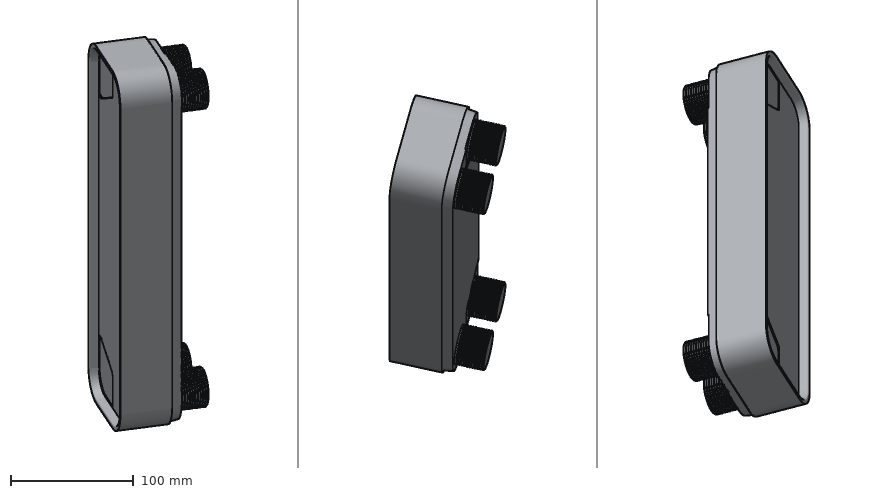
import cadquery as cq
import math


pack_width = 94.0
pack_height = 324.0
corner_radius = 23.3
pack_depth = 43.7
cover_top = 52.5
cover_inset = 1.78
cover_draft = 8.0
cover_bend = 0.8

pan_inset = 3.5
pan_depth = 7.0
pan_draft = 19.0
pan_bend = 1.0

field_step = 1.0
field_draft = 35.0
field_edge_x = -0.5
field_corner_z = 124.7
field_knee_x = -33.5
field_knee_z = 109.0
field_bend = 5.0
field_overhang = 16.2

connector_x = 23.0
connector_z = 135.0
thread_radius = 16.7
thread_depth = 1.3
thread_pitch = 2.2
ridge_count = 11
connector_length = 24.5
tip_chamfer = 1.0
collar_length = connector_length - tip_chamfer - (ridge_count - 1) * thread_pitch


def rounded_slab(inset, start_y, depth, draft=0.0):
    """Rounded rectangle, inset from the pack outline, grown along +Y from start_y."""
    sketch = cq.Sketch().rect(pack_width - 2 * inset, pack_height - 2 * inset)
    sketch = sketch.vertices().fillet(corner_radius - inset)
    plane = cq.Plane(origin=(0, start_y, 0), xDir=(-1, 0, 0), normal=(0, 1, 0))
    return cq.Workplane(plane).placeSketch(sketch).extrude(depth, taper=draft)


def corner_field(start_y, direction, side):
    """Drafted corner field, one step deep along Y in the given direction (+1 or -1).

    side is +1 for the top corner and -1 for the bottom corner.
    """
    outer_x = -pack_width / 2 - field_overhang
    outer_z = pack_height / 2 + field_overhang
    outline = [
        (outer_x, outer_z),
        (field_edge_x, outer_z),
        (field_edge_x, field_corner_z),
        (field_knee_x, field_knee_z),
        (outer_x, field_knee_z),
        (outer_x, outer_z),
    ]
    margin = 3.2
    turns = cq.selectors.BoxSelector(
        (field_knee_x - margin, field_knee_z - margin, -margin),
        (field_edge_x + margin, field_corner_z + margin, margin),
    )
    sketch = cq.Sketch().polygon(outline)
    sketch = sketch.vertices(turns).fillet(field_bend)
    field = (
        cq.Workplane("XZ", origin=(0, start_y, 0))
        .placeSketch(sketch)
        .extrude(-direction * field_step, taper=field_draft)
    )
    return field if side > 0 else field.mirror("XY")


def make_plate_pack():
    stack = rounded_slab(0, 0, pack_depth)
    cover = rounded_slab(cover_inset, pack_depth, cover_top - pack_depth, cover_draft)
    pack = stack.union(cover)
    ledge = pack.faces("|Y").faces(">Y[-2]").val()
    pack = pack.newObject(ledge.innerWires()[0].Edges()).fillet(cover_bend)

    pan = rounded_slab(pan_inset, 0, pan_depth, pan_draft)
    pack = pack.cut(pan)
    rim = pack.faces("<Y").val()
    pack = pack.newObject(rim.innerWires()[0].Edges()).fillet(pan_bend)

    floor_inset = pan_inset + pan_depth * math.tan(math.radians(pan_draft))
    field_limit = rounded_slab(floor_inset, pan_depth, field_step)
    for side in (1, -1):
        pack = pack.cut(corner_field(pan_depth, 1, side).intersect(field_limit))
        pack = pack.cut(corner_field(cover_top, -1, side))
    return pack


def make_connector(x, z, base_y):
    """Connector with ring-shaped thread ridges, its axis along Y and its foot at base_y."""
    root_radius = thread_radius - thread_depth
    profile = cq.Workplane("XY").lineTo(thread_radius, 0).lineTo(thread_radius, collar_length)
    for ridge in range(1, ridge_count):
        crest_y = collar_length + ridge * thread_pitch
        profile = profile.lineTo(root_radius, crest_y - thread_pitch / 2)
        profile = profile.lineTo(thread_radius, crest_y)
    profile = (
        profile.lineTo(thread_radius - tip_chamfer, connector_length)
        .lineTo(0, connector_length)
        .close()
    )
    connector = profile.revolve(360, (0, 0, 0), (0, 1, 0))
    return connector.translate((x, base_y, z))


plate_pack = make_plate_pack()

connectors = []
for z in (-connector_z, connector_z):
    connectors.append(make_connector(-connector_x, z, cover_top - field_step))
    connectors.append(make_connector(connector_x, z, cover_top))

result = cq.Compound.makeCompound(
    [plate_pack.val(), *[connector.val() for connector in connectors]]
)